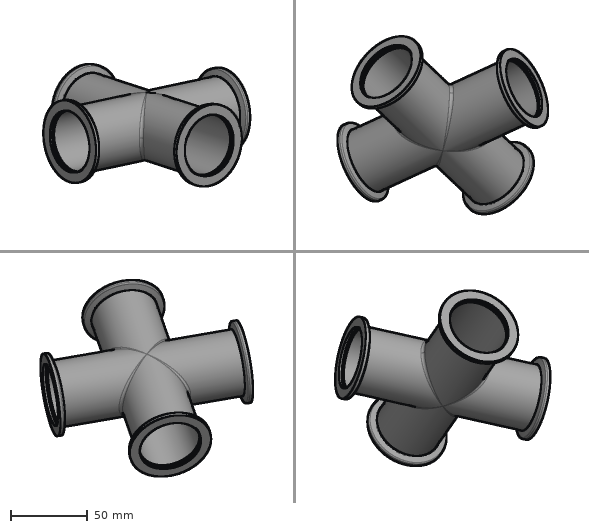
import cadquery as cq
import math

span = 130.0
face_distance = span / 2

tube_outer_radius = 44.5 / 2
bore_radius = 40.5 / 2
crotch_fillet_radius = 2.0

flange_radius = 55.0 / 2
recess_radius = 41.2 / 2
socket_radius = 44.7 / 2
rim_width = 3.0
rim_rounding = 1.0
back_taper = math.radians(15)
recess_depth = 2.0
socket_floor_depth = 3.4
tube_length = span - 2 * socket_floor_depth

branch_angles = (0, 90, 180, 270)
selection_margin = 0.1


def crossed_cylinders(radius, length):
    """Two equal cylinders along X and Y, joined at the origin."""
    along_x = cq.Workplane("YZ").circle(radius).extrude(length / 2, both=True)
    along_y = cq.Workplane("XZ").circle(radius).extrude(length / 2, both=True)
    return along_x.union(along_y)


def make_tube_cross():
    """Four-way tube with filleted crotches and open ends."""
    outside = crossed_cylinders(tube_outer_radius, tube_length)
    crotch_reach = tube_outer_radius + selection_margin
    crotch_box = cq.selectors.BoxSelector(
        (-crotch_reach,) * 3, (crotch_reach,) * 3, boundingbox=True
    )
    outside = outside.edges(crotch_box).fillet(crotch_fillet_radius)
    return outside.cut(crossed_cylinders(bore_radius, span))


def coaxial_disc(radius, start, end):
    """Solid disc about the X axis between two X positions."""
    return cq.Workplane("YZ", origin=(start, 0, 0)).circle(radius).extrude(end - start)


def make_flange_blank():
    """Solid flange on the +X branch: round-edged rim with a tapered back."""
    rim_back = face_distance - rim_width
    flange_back = rim_back - (flange_radius - socket_radius) * math.tan(back_taper)
    profile = [
        (face_distance, 0),
        (face_distance, flange_radius),
        (rim_back, flange_radius),
        (flange_back, socket_radius),
        (flange_back, 0),
    ]
    blank = cq.Workplane("XY").polyline(profile).close().revolve(360, (0, 0, 0), (1, 0, 0))
    rim_corner = cq.selectors.BoxSelector(
        (rim_back - selection_margin, -span, -span),
        (rim_back + selection_margin, span, span),
        boundingbox=True,
    )
    return blank.edges(rim_corner).fillet(rim_rounding)


def make_recess():
    """Face recess that narrows to the bore through a 45 degree step."""
    step = recess_radius - bore_radius
    step_start = face_distance - recess_depth
    disc = coaxial_disc(recess_radius, step_start - step, face_distance)
    return disc.faces("<X").chamfer(step)


def make_flange(angle):
    """Flange with recess, bore and tube socket, turned about Z to its branch."""
    recess = make_recess()
    bore = coaxial_disc(bore_radius, 0, face_distance)
    socket = coaxial_disc(socket_radius, 0, face_distance - socket_floor_depth)
    flange = make_flange_blank().cut(recess).cut(bore).cut(socket)
    return flange.rotate((0, 0, 0), (0, 0, 1), angle)


tube_cross = make_tube_cross()
flanges = [make_flange(angle) for angle in branch_angles]

result = cq.Compound.makeCompound([tube_cross.val(), *[flange.val() for flange in flanges]])